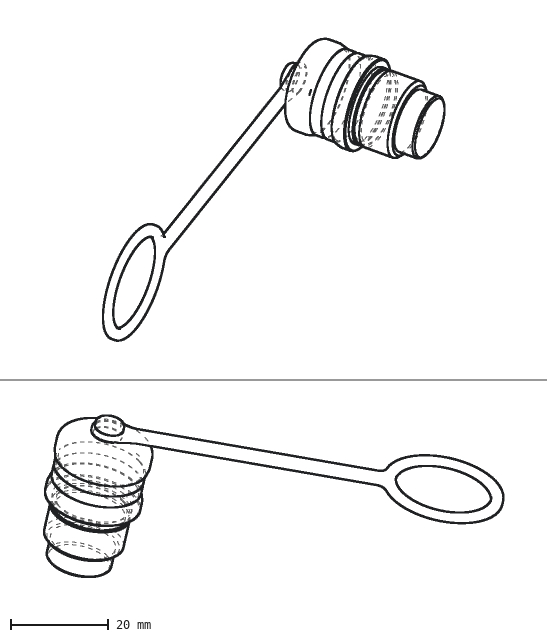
import cadquery as cq
import math


pin_radius = 6.0 / 2
pin_edge_fillet = 0.8
pin_base_chamfer = 0.15
strap_start = 1.7
strap_thickness = 1.35
strap_half_width = 2.1
strap_edge_fillet = 0.3
eye_radius = 3.5
taper_angle = math.radians(15)
taper_blend_radius = 2.0
ring_distance = 70.0
ring_outer_radius = 25.0 / 2
ring_hole_radius = 20.0 / 2
ring_blend_radius = 2.0

cap_radius = 20.0 / 2
cap_cone_angle = math.radians(12)
cap_round_radius = 1.9
cap_round_end = 6.3
cap_end = 19.1
cap_end_chamfer = 0.2

grip_center = 12.78
grip_half_length = 4.2
grip_slope_half_length = 2.95
grip_slope_foot_radius = 9.65
grip_band_radius = 9.42
grip_band_width = 1.75
grip_middle_groove_width = 0.9
grip_groove_floor_radius = 8.95
grip_crest_fillet = 0.6
grip_groove_fillet = 0.16

body_radius = 16.7 / 2
body_end = 28.9
body_end_chamfer = 0.75
seal_floor_radius = 14.8 / 2
seal_start = 20.0
seal_width = 1.55
tip_radius = 13.6 / 2
tip_end = 33.5
tip_chamfer = 0.4


def cylinder(start, end, radius):
    """Cylinder on the plug axis between two X positions."""
    return cq.Workplane("YZ", origin=(start, 0, 0)).circle(radius).extrude(end - start)


def make_cap():
    """Revolved cap with a shallow conical face, a rounded rim and a waisted grip."""
    round_center_radius = cap_radius - cap_round_radius

    def rim_point(angle):
        return (
            cap_round_end - cap_round_radius * math.cos(angle),
            round_center_radius + cap_round_radius * math.sin(angle),
        )

    rim_start = rim_point(cap_cone_angle)
    rim_middle = rim_point((cap_cone_angle + math.pi / 2) / 2)
    apex_x = rim_start[0] - rim_start[1] * math.tan(cap_cone_angle)

    band_inner = grip_middle_groove_width / 2
    band_outer = band_inner + grip_band_width
    side_groove_middle = (band_outer + grip_slope_half_length) / 2

    def grip_point(offset, radius):
        return (grip_center + offset, radius)

    profile = (
        cq.Workplane("XY")
        .moveTo(apex_x, 0)
        .lineTo(*rim_start)
        .threePointArc(rim_middle, (cap_round_end, cap_radius))
        .lineTo(*grip_point(-grip_half_length, cap_radius))
        .lineTo(*grip_point(-grip_slope_half_length, grip_slope_foot_radius))
        .threePointArc(
            grip_point(-side_groove_middle, grip_groove_floor_radius),
            grip_point(-band_outer, grip_band_radius),
        )
        .lineTo(*grip_point(-band_inner, grip_band_radius))
        .threePointArc(
            grip_point(0, grip_groove_floor_radius),
            grip_point(band_inner, grip_band_radius),
        )
        .lineTo(*grip_point(band_outer, grip_band_radius))
        .threePointArc(
            grip_point(side_groove_middle, grip_groove_floor_radius),
            grip_point(grip_slope_half_length, grip_slope_foot_radius),
        )
        .lineTo(*grip_point(grip_half_length, cap_radius))
        .lineTo(cap_end, cap_radius)
        .lineTo(cap_end, 0)
        .close()
    )
    cap = profile.revolve(360, (0, 0, 0), (1, 0, 0))

    def grip_edges(half_length):
        return cq.selectors.BoxSelector(
            (grip_center - half_length, -cap_radius, -cap_radius),
            (grip_center + half_length, cap_radius, cap_radius),
        )

    grooves = grip_edges((grip_slope_half_length + grip_half_length) / 2)
    whole_grip = grip_edges(grip_half_length + grip_crest_fillet)
    cap = cap.edges("%CIRCLE").edges(whole_grip - grooves).fillet(grip_crest_fillet)
    cap = cap.edges("%CIRCLE").edges(grooves).fillet(grip_groove_fillet)
    return cap.faces(">X").edges().chamfer(cap_end_chamfer)


def make_body():
    """Plug body behind the cap, with a round sealing ring seated in its groove."""
    body = cylinder(cap_end, body_end, body_radius).faces(">X").edges().chamfer(body_end_chamfer)
    seal_end = seal_start + seal_width
    groove = cylinder(seal_start, seal_end, body_radius).cut(
        cylinder(seal_start, seal_end, seal_floor_radius)
    )
    seal_radius = seal_width / 2
    seal = (
        cq.Workplane("XY")
        .moveTo(seal_start, 0)
        .lineTo(seal_start, seal_floor_radius)
        .threePointArc(
            (seal_start + seal_radius, seal_floor_radius + seal_radius),
            (seal_end, seal_floor_radius),
        )
        .lineTo(seal_end, 0)
        .close()
        .revolve(360, (0, 0, 0), (1, 0, 0))
    )
    tip = cylinder(body_end, tip_end, tip_radius).faces(">X").edges().chamfer(tip_chamfer)
    return body.cut(groove).union(seal).union(tip)


def make_pin():
    """Pin head outside the strap eye and the shank that joins it to the cap."""
    head = cylinder(0, strap_start, pin_radius)
    head = head.faces("<X").edges().fillet(pin_edge_fillet)
    head = head.faces(">X").edges().chamfer(pin_base_chamfer)
    shank = cylinder(strap_start, cap_round_end, pin_radius)
    return head.union(shank)


def make_strap():
    """Flat strap with a tapered eye on the pin and a retaining ring at its far end."""
    sketch_plane = cq.Workplane("YZ", origin=(strap_start, 0, 0))

    tangent_y = -eye_radius * math.sin(taper_angle)
    tangent_z = eye_radius * math.cos(taper_angle)
    taper_end_y = tangent_y - (tangent_z - strap_half_width) / math.tan(taper_angle)
    ring_wall_y = -ring_distance + (ring_outer_radius + ring_hole_radius) / 2

    eye = sketch_plane.circle(eye_radius).extrude(strap_thickness)
    band = (
        sketch_plane.moveTo(tangent_y, tangent_z)
        .lineTo(taper_end_y, strap_half_width)
        .lineTo(ring_wall_y, strap_half_width)
        .lineTo(ring_wall_y, -strap_half_width)
        .lineTo(taper_end_y, -strap_half_width)
        .lineTo(tangent_y, -tangent_z)
        .close()
        .extrude(strap_thickness)
    )
    ring = sketch_plane.center(-ring_distance, 0).circle(ring_outer_radius).extrude(strap_thickness)
    strap = eye.union(band).union(ring)

    ring_joint_y = -ring_distance + math.sqrt(ring_outer_radius**2 - strap_half_width**2)
    corner_blends = ((taper_end_y, taper_blend_radius), (ring_joint_y, ring_blend_radius))
    for corner_y, blend_radius in corner_blends:
        for side in (-1, 1):
            corner = (strap_start, corner_y, side * strap_half_width)
            strap = strap.edges("|X").edges(cq.selectors.NearestToPointSelector(corner)).fillet(blend_radius)

    hole = sketch_plane.center(-ring_distance, 0).circle(ring_hole_radius).extrude(strap_thickness)
    return strap.cut(hole).faces("<X or >X").edges().fillet(strap_edge_fillet)


result = make_cap().union(make_body()).union(make_pin()).union(make_strap())